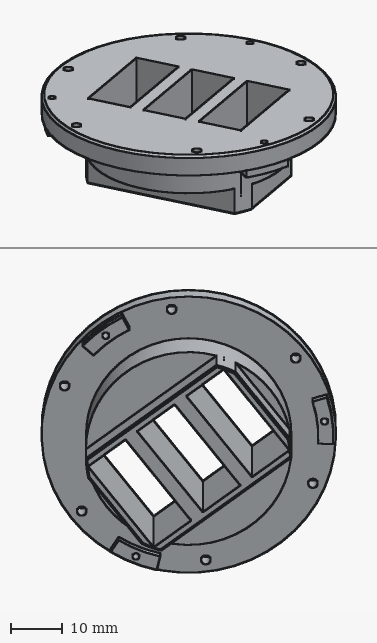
import cadquery as cq
import math

flange_thickness = 4.2
pad_bottom_depth = 6.0
boss_bottom_depth = 11.95
total_height = 17.5

flange_diameter = 57.0
flange_chamfer = 0.5
boss_diameter = 39.8

block_length = 35.9
block_width = 23.95
block_chamfer = 0.3

pad_inner_radius = 25.1
pad_outer_radius = 28.0
pad_half_angle = 10.0
pad_angles = (90, 210, 330)

pin_hole_diameter = 1.3
pin_circle_radius = 26.5
screw_hole_diameter = 1.8
screw_circle_radius = 26.05
screw_angles = range(0, 360, 60)

window_length = 9.1
window_width = 21.0
window_pitch = 11.95
window_count = 3


def polar(radius, degrees):
    angle = math.radians(degrees)
    return radius * math.cos(angle), radius * math.sin(angle)


def make_flange():
    disc = cq.Workplane("XY").circle(flange_diameter / 2).extrude(-flange_thickness)
    return disc.faces(">Z").edges().chamfer(flange_chamfer)


def make_boss():
    return cq.Workplane("XY").circle(boss_diameter / 2).extrude(-boss_bottom_depth)


def make_block():
    block = cq.Workplane("XY").rect(block_length, block_width).extrude(-total_height)
    trim = cq.Workplane("XY").circle(boss_diameter / 2).extrude(-total_height)
    return block.intersect(trim).faces("<Z").edges().chamfer(block_chamfer)


def make_pad(angle):
    start = angle - pad_half_angle
    end = angle + pad_half_angle
    return (
        cq.Workplane("XY", origin=(0, 0, -flange_thickness))
        .moveTo(*polar(pad_inner_radius, start))
        .lineTo(*polar(pad_outer_radius, start))
        .threePointArc(polar(pad_outer_radius, angle), polar(pad_outer_radius, end))
        .lineTo(*polar(pad_inner_radius, end))
        .threePointArc(polar(pad_inner_radius, angle), polar(pad_inner_radius, start))
        .close()
        .extrude(flange_thickness - pad_bottom_depth)
    )


def make_holes(radius, angles, diameter):
    centers = [polar(radius, angle) for angle in angles]
    return cq.Workplane("XY").pushPoints(centers).circle(diameter / 2).extrude(-total_height)


def make_windows():
    return (
        cq.Workplane("XY")
        .rarray(window_pitch, 0.55, window_count, 1)
        .rect(window_length, window_width)
        .extrude(-total_height)
    )


result = make_flange().union(make_boss()).union(make_block())
for pad_angle in pad_angles:
    result = result.union(make_pad(pad_angle))

result = result.cut(make_holes(pin_circle_radius, pad_angles, pin_hole_diameter))
result = result.cut(make_holes(screw_circle_radius, screw_angles, screw_hole_diameter))
result = result.cut(make_windows())